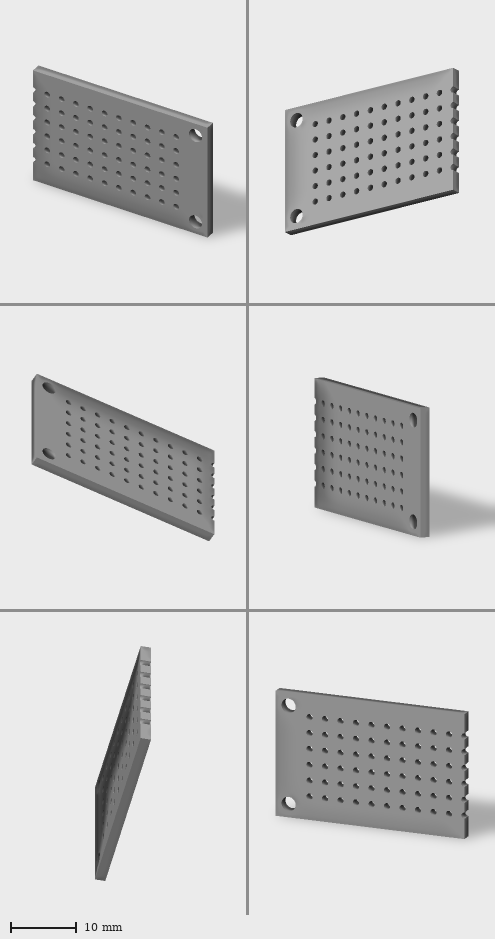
import cadquery as cq

length = 31.02
thickness = 1.6
height = 20.0

pitch = 2.55
columns = 11
rows = 6
pin_diameter = 1.0
grid_rise = 0.1

mount_diameter = 2.3
mount_edge_distance = 2.15


def holes_through_plate(centres, diameter):
    """Cylinders along Y that pass through the whole plate."""
    return cq.Workplane("XZ").pushPoints(centres).circle(diameter / 2).extrude(-thickness)


plate = cq.Workplane("XY").box(length, thickness, height, centered=False)

grid_bottom_z = height / 2 + grid_rise - pitch * (rows - 1) / 2
pin_centres = [
    (pitch * column, grid_bottom_z + pitch * row)
    for column in range(columns)
    for row in range(rows)
]

mount_x = length - mount_edge_distance
mount_centres = [
    (mount_x, mount_edge_distance),
    (mount_x, height - mount_edge_distance),
]

result = (
    plate
    .cut(holes_through_plate(pin_centres, pin_diameter))
    .cut(holes_through_plate(mount_centres, mount_diameter))
)